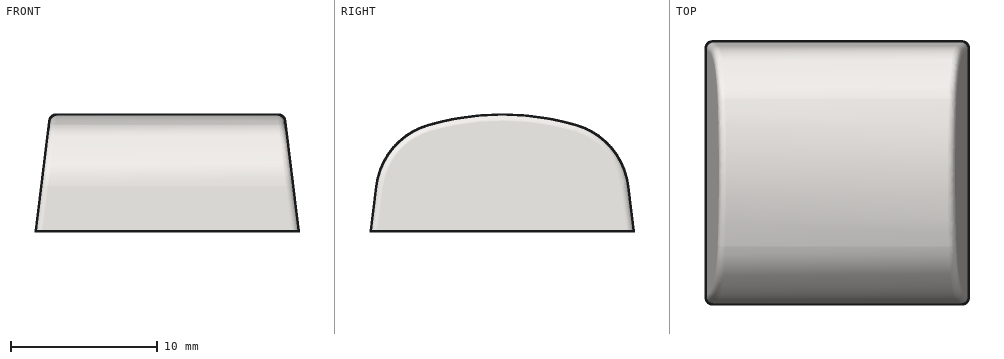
import cadquery as cq

base_size = 18.0
height = 8.0
draft_angle = 7.0
crown_radius = 18.0
shoulder_radius = 5.0
end_radius = 0.5


def tapered_block():
    """Square block with four leaning walls, as tall as the crown."""
    return cq.Workplane("XY").rect(base_size, base_size).extrude(height, taper=draft_angle)


def crown_cylinder():
    """Cylinder along X whose highest line touches the part height."""
    return (
        cq.Workplane("YZ")
        .center(0, height - crown_radius)
        .circle(crown_radius)
        .extrude(base_size, both=True)
    )


body = tapered_block().intersect(crown_cylinder())

body = body.edges("|X").edges(">Z").fillet(shoulder_radius)

result = body.edges("not(|X or |Y)").fillet(end_radius)